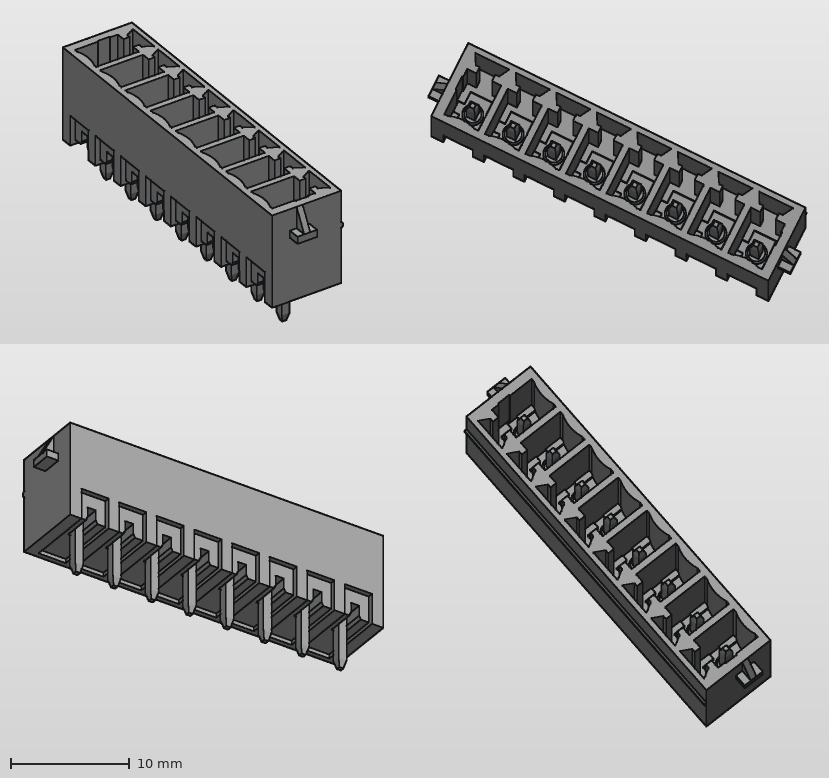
import cadquery as cq


OVERALL_LENGTH = 33.97
PIN_COUNT = 8
PITCH = 3.8

HOUSING_LENGTH = 31.65
HOUSING_DEPTH = 7.0
HOUSING_HEIGHT = 9.2
BACK_WALL = 0.5
FRONT_WALL = 0.65
RIDGE_PROJECTION = 0.2
RIDGE_BASE = 0.6
RIDGE_TIP = 0.2
RIDGE_DROP = 3.43

PIN_WIDTH = 0.8
PIN_TIP_WIDTH = 0.4
PIN_TAPER = 0.78
PIN_BELOW = 3.5
PIN_TOP_DROP = 2.55
PIN_Y = 2.8

CAVITY_WIDTH = 3.2
CAVITY_FLOOR = 2.72
KEY_DEPTH = 0.92
KEY_NARROW_WIDTH = 2.17
NECK_WIDTH = 1.45
NECK_DEPTH = 0.6
BULGE_WIDTH = 2.5
BULGE_HEIGHT = 0.25
RECESS_DEPTH = 0.35
RECESS_WIDTH = 2.05
RECESS_ARM = 1.02
RECESS_LEDGE = 0.5
COLLAR_DIAMETER = 1.8
COLLAR_CHAMFER = 0.17

GROOVE_DEPTH = 0.1
GROOVE_FRONT = 3.0
GROOVE_WIDTH = 1.22

NOTCH_WIDTH = 2.75
NOTCH_HEIGHT = 3.0
NOTCH_DEPTH = 0.5
UNDERSIDE_RECESS = 0.4
SLOT_HEIGHT = 1.73
LEAD_IN_WIDTH = 0.17
LEAD_IN_HEIGHT = 0.35

LATCH_BAR_WIDTH = 1.97
LATCH_BAR_HEIGHT = 0.7
LATCH_RIB_WIDTH = 0.6
LATCH_RIB_HEIGHT = 2.15

HALF_LENGTH = HOUSING_LENGTH / 2
LATCH_PROJECTION = (OVERALL_LENGTH - HOUSING_LENGTH) / 2
KEY_BACK = HOUSING_DEPTH - BACK_WALL
NECK_BACK = KEY_BACK - KEY_DEPTH
CAVITY_BACK = NECK_BACK - NECK_DEPTH
RECESS_FLOOR = CAVITY_FLOOR - RECESS_DEPTH
ROW_LENGTH = PITCH * (PIN_COUNT - 1)
PIN_PLACES = [i * PITCH - ROW_LENGTH / 2 for i in range(PIN_COUNT)]


def block(x_range, y_range, z_range):
    """Box spanning the given ranges."""
    (x0, x1), (y0, y1), (z0, z1) = x_range, y_range, z_range
    return cq.Workplane("XY").box(x1 - x0, y1 - y0, z1 - z0, centered=False).translate((x0, y0, z0))


def centred_block(width, y_range, z_range):
    """Box of the given width centred on x = 0."""
    return block((-width / 2, width / 2), y_range, z_range)


def make_ridge():
    """Low rib with a trapezoid section along the back face."""
    middle = HOUSING_HEIGHT - RIDGE_DROP
    tip_y = HOUSING_DEPTH + RIDGE_PROJECTION
    return (
        cq.Workplane("YZ", origin=(-HALF_LENGTH, 0, 0))
        .polyline([
            (HOUSING_DEPTH, middle - RIDGE_BASE / 2),
            (tip_y, middle - RIDGE_TIP / 2),
            (tip_y, middle + RIDGE_TIP / 2),
            (HOUSING_DEPTH, middle + RIDGE_BASE / 2),
        ])
        .close()
        .extrude(HOUSING_LENGTH)
    )


def make_latch():
    """Bar with a sloping rib above it, on the +X end."""
    bar_top = HOUSING_HEIGHT - LATCH_RIB_HEIGHT
    bar = block(
        (HALF_LENGTH, HALF_LENGTH + LATCH_PROJECTION),
        (PIN_Y - LATCH_BAR_WIDTH / 2, PIN_Y + LATCH_BAR_WIDTH / 2),
        (bar_top - LATCH_BAR_HEIGHT, bar_top),
    )
    rib = (
        cq.Workplane("XZ", origin=(0, PIN_Y, 0))
        .polyline([
            (HALF_LENGTH, bar_top),
            (HALF_LENGTH + LATCH_PROJECTION, bar_top),
            (HALF_LENGTH, HOUSING_HEIGHT),
        ])
        .close()
        .extrude(LATCH_RIB_WIDTH / 2, both=True)
    )
    return bar.union(rib)


def make_bulge(bottom, top):
    """Curved swelling of the front wall into the cavity, centred on x = 0."""
    return (
        cq.Workplane("XY", origin=(0, 0, bottom))
        .moveTo(-BULGE_WIDTH / 2, FRONT_WALL)
        .threePointArc((0, FRONT_WALL + BULGE_HEIGHT), (BULGE_WIDTH / 2, FRONT_WALL))
        .close()
        .extrude(top - bottom)
    )


def make_cavity():
    """Cavity with a dovetail key slot at the back and a bulging front wall, centred on x = 0."""
    height_range = (CAVITY_FLOOR, HOUSING_HEIGHT)
    chamber = centred_block(CAVITY_WIDTH, (FRONT_WALL, CAVITY_BACK), height_range)
    neck = centred_block(NECK_WIDTH, (CAVITY_BACK, NECK_BACK), height_range)
    key = (
        cq.Workplane("XY", origin=(0, 0, CAVITY_FLOOR))
        .polyline([
            (-KEY_NARROW_WIDTH / 2, NECK_BACK),
            (KEY_NARROW_WIDTH / 2, NECK_BACK),
            (CAVITY_WIDTH / 2, KEY_BACK),
            (-CAVITY_WIDTH / 2, KEY_BACK),
        ])
        .close()
        .extrude(HOUSING_HEIGHT - CAVITY_FLOOR)
    )
    return chamber.cut(make_bulge(*height_range)).union(neck).union(key)


def make_floor_recess():
    """Cross-shaped recess in the cavity floor that leaves a chamfered collar around the pin."""
    depth_range = (RECESS_FLOOR, CAVITY_FLOOR)
    stem = centred_block(RECESS_WIDTH, (FRONT_WALL, CAVITY_BACK - RECESS_LEDGE), depth_range)
    arms = centred_block(CAVITY_WIDTH, (PIN_Y - RECESS_ARM / 2, PIN_Y + RECESS_ARM / 2), depth_range)
    collar = (
        cq.Workplane("XY", origin=(0, PIN_Y, RECESS_FLOOR))
        .circle(COLLAR_DIAMETER / 2)
        .extrude(RECESS_DEPTH)
        .faces(">Z")
        .chamfer(COLLAR_CHAMFER)
    )
    return stem.cut(make_bulge(*depth_range)).union(arms).cut(collar)


def make_underside_opening():
    """Front notch, underside recess and pin slot with a flared mouth, centred on x = 0."""
    notch = centred_block(NOTCH_WIDTH, (0, NOTCH_DEPTH), (0, NOTCH_HEIGHT))
    recess = centred_block(NOTCH_WIDTH, (0, KEY_BACK), (0, UNDERSIDE_RECESS))
    pin_back = PIN_Y + PIN_WIDTH / 2
    slot = centred_block(PIN_WIDTH, (0, pin_back), (0, SLOT_HEIGHT))
    mouth_half = PIN_WIDTH / 2 + LEAD_IN_WIDTH
    lead_in_top = UNDERSIDE_RECESS + LEAD_IN_HEIGHT
    lead_in = (
        cq.Workplane("XZ")
        .polyline([
            (-mouth_half, UNDERSIDE_RECESS),
            (mouth_half, UNDERSIDE_RECESS),
            (PIN_WIDTH / 2, lead_in_top),
            (-PIN_WIDTH / 2, lead_in_top),
        ])
        .close()
        .extrude(-pin_back)
    )
    return notch.union(recess).union(slot).union(lead_in)


def make_end_groove():
    """Shallow upright groove in the outer wall of the +X end cavity."""
    wall = PIN_PLACES[-1] + CAVITY_WIDTH / 2
    return block(
        (wall, wall + GROOVE_DEPTH),
        (GROOVE_FRONT, GROOVE_FRONT + GROOVE_WIDTH),
        (CAVITY_FLOOR, HOUSING_HEIGHT),
    )


def make_pin_hole():
    """Square hole through the floor and collar for one pin, centred on x = 0."""
    half = PIN_WIDTH / 2
    return centred_block(PIN_WIDTH, (PIN_Y - half, PIN_Y + half), (0, CAVITY_FLOOR))


def make_housing():
    """Shell with its ridge and latches, opened up at every pin place."""
    housing = centred_block(HOUSING_LENGTH, (0, HOUSING_DEPTH), (0, HOUSING_HEIGHT)).union(make_ridge())
    latch = make_latch()
    housing = housing.union(latch).union(latch.mirror("YZ"))
    openings = [make_cavity(), make_floor_recess(), make_underside_opening(), make_pin_hole()]
    for x in PIN_PLACES:
        for opening in openings:
            housing = housing.cut(opening.translate((x, 0, 0)))
    groove = make_end_groove()
    return housing.cut(groove).cut(groove.mirror("YZ")).solids()


def make_pin_taper(z, length):
    """Pyramid end of a pin, from its full width at z to its tip; a negative length points down."""
    return (
        cq.Workplane("XY", origin=(0, PIN_Y, z))
        .rect(PIN_WIDTH, PIN_WIDTH)
        .workplane(offset=length)
        .rect(PIN_TIP_WIDTH, PIN_TIP_WIDTH)
        .loft(ruled=True)
    )


def make_pin(x):
    """Square contact pin tapered at both ends."""
    half = PIN_WIDTH / 2
    shank_bottom = PIN_TAPER - PIN_BELOW
    shank_top = HOUSING_HEIGHT - PIN_TOP_DROP - PIN_TAPER
    shank = centred_block(PIN_WIDTH, (PIN_Y - half, PIN_Y + half), (shank_bottom, shank_top))
    lower_tip = make_pin_taper(shank_bottom, -PIN_TAPER)
    upper_tip = make_pin_taper(shank_top, PIN_TAPER)
    return shank.union(lower_tip).union(upper_tip).translate((x, 0, 0)).solids()


housing = make_housing()
pins = [make_pin(x) for x in PIN_PLACES]

result = cq.Compound.makeCompound([housing.val(), *[pin.val() for pin in pins]])